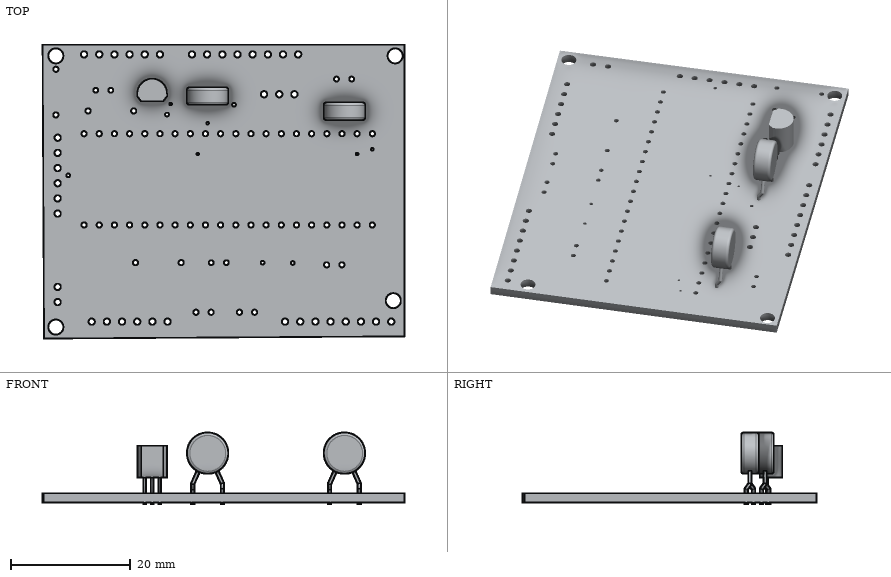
import cadquery as cq

board_length = 60.65
board_width = 49.25
board_thickness = 1.6
left_edge_slant = 0.25
front_edge_rise = 0.35

dip_row_span = 48.25
dip_row_count = 20
pitch = dip_row_span / (dip_row_count - 1)
mounting_hole_diameter = 2.5
header_hole_diameter = 1.05
component_hole_diameter = 0.85
small_hole_diameter = 0.8
large_via_diameter = 0.6
via_diameter = 0.4

overall_height = 12.0
tail_length = 0.25

disc_diameter = 7.0
disc_thickness = 3.0
disc_edge_radius = 0.5
disc_center_z = overall_height - tail_length - disc_diameter / 2
lead_diameter = 0.6
lead_spread = 2.5
lead_offset = 0.6
lead_top_spread = 1.5
lower_bend_z = board_thickness + 0.65
upper_bend_z = board_thickness + 1.6
lead_end_z = board_thickness + 3.75
capacitor_places = [(-2.65, 16.0), (20.25, 13.45)]

case_radius = 2.5
case_side = 0.5
case_chamfer_width = 0.65
case_chamfer_depth = 0.85
case_bottom_z = board_thickness + 2.6
case_height = 5.35
transistor_x = -11.95
transistor_y = 16.45
transistor_pin_width = 0.5
transistor_pin_depth = 0.4
transistor_pin_pitch = pitch / 2
transistor_pin_y = 16.3


def row(x, y, count):
    """Hole centres one pitch apart, going right from (x, y)."""
    return [(x + i * pitch, y) for i in range(count)]


def column(x, y, count):
    """Hole centres one pitch apart, going forward from (x, y)."""
    return [(x, y - i * pitch) for i in range(count)]


mounting_holes = [(-28.1, 22.75), (28.75, 22.75), (-28.1, -22.7), (28.45, -18.25)]
header_holes = (
    row(-23.35, 23.0, 6)
    + row(-5.3, 23.0, 8)
    + row(-22.1, -21.8, 6)
    + row(10.3, -21.8, 8)
    + column(-27.8, 9.05, 6)
    + column(-27.8, -15.95, 2)
    + row(6.8, 16.3, 3)
)
component_holes = (
    row(-23.35, 9.7, dip_row_count)
    + row(-23.35, -5.6, dip_row_count)
    + row(17.3, -12.25, 2)
    + row(-4.6, -20.2, 2)
    + row(2.65, -20.2, 2)
    + [(-28.1, 20.5), (-28.1, 12.85), (-22.7, 13.5), (-15.05, 13.5)]
    + [(-14.75, -11.9), (-7.1, -11.9)]
)
small_holes = (
    row(18.9, 18.85, 2)
    + row(-21.4, 17.0, 2)
    + row(-2.05, -11.9, 2)
)
large_vias = [(1.75, 14.55), (-26.0, 2.7), (-9.45, 12.9), (6.55, -11.9), (11.6, -11.95)]
vias = [(-8.85, 14.7), (-2.65, 11.45), (24.9, 7.1), (-4.3, 6.3), (22.4, 6.3)]
transistor_pin_places = [
    (transistor_x + i * transistor_pin_pitch, transistor_pin_y) for i in (-1, 0, 1)
]


def drill(diameter, places):
    return (
        cq.Workplane("XY")
        .pushPoints(places)
        .circle(diameter / 2)
        .extrude(board_thickness)
    )


def make_board():
    left = -board_length / 2
    right = board_length / 2
    back = board_width / 2
    front = -board_width / 2
    corners = [
        (left, back),
        (right, back),
        (right, front + front_edge_rise),
        (left + left_edge_slant, front),
    ]
    board = cq.Workplane("XY").polyline(corners).close().extrude(board_thickness)

    hole_groups = [
        (mounting_hole_diameter, mounting_holes),
        (header_hole_diameter, header_holes),
        (component_hole_diameter, component_holes),
        (small_hole_diameter, small_holes),
        (large_via_diameter, large_vias),
        (via_diameter, vias),
    ]
    for diameter, places in hole_groups:
        board = board.cut(drill(diameter, places))

    for x, y in capacitor_places:
        for side in (-1, 1):
            foot = (x + side * lead_spread, y - side * lead_offset)
            board = board.cut(drill(lead_diameter, [foot]))
    pin_slots = (
        cq.Workplane("XY")
        .pushPoints(transistor_pin_places)
        .rect(transistor_pin_width, transistor_pin_depth)
        .extrude(board_thickness)
    )
    return board.cut(pin_slots)


def make_lead(x, y, side):
    """A lead that rises, leans to the disc's middle plane, then leans in to the disc."""
    foot_x = x + side * lead_spread
    foot_y = y - side * lead_offset
    path = cq.Workplane("XY").polyline(
        [
            (foot_x, foot_y, -tail_length),
            (foot_x, foot_y, lower_bend_z),
            (foot_x, y, upper_bend_z),
            (x + side * lead_top_spread, y, lead_end_z),
        ]
    )
    return (
        cq.Workplane("XY", origin=(foot_x, foot_y, -tail_length))
        .circle(lead_diameter / 2)
        .sweep(path, transition="right")
    )


def make_capacitor(x, y):
    disc = (
        cq.Workplane("XZ", origin=(x, y + disc_thickness / 2, disc_center_z))
        .circle(disc_diameter / 2)
        .extrude(disc_thickness)
        .edges()
        .fillet(disc_edge_radius)
    )
    return disc.union(make_lead(x, y, -1)).union(make_lead(x, y, 1))


def make_transistor_case():
    flank_end = -case_side
    flat = flank_end - case_chamfer_depth
    flat_half_width = case_radius - case_chamfer_width
    return (
        cq.Workplane("XY", origin=(transistor_x, transistor_y, case_bottom_z))
        .moveTo(case_radius, 0)
        .threePointArc((0, case_radius), (-case_radius, 0))
        .lineTo(-case_radius, flank_end)
        .lineTo(-flat_half_width, flat)
        .lineTo(flat_half_width, flat)
        .lineTo(case_radius, flank_end)
        .close()
        .extrude(case_height)
    )


def make_transistor_pin(x, y):
    """A pin from below the board up to the underside of the case."""
    return (
        cq.Workplane("XY", origin=(x, y, -tail_length))
        .rect(transistor_pin_width, transistor_pin_depth)
        .extrude(case_bottom_z + tail_length)
    )


board = make_board()
capacitors = [make_capacitor(x, y) for x, y in capacitor_places]
transistor_case = make_transistor_case()
transistor_pins = [make_transistor_pin(x, y) for x, y in transistor_pin_places]

result = cq.Compound.makeCompound(
    [
        board.val(),
        *[capacitor.val() for capacitor in capacitors],
        transistor_case.val(),
        *[pin.val() for pin in transistor_pins],
    ]
)